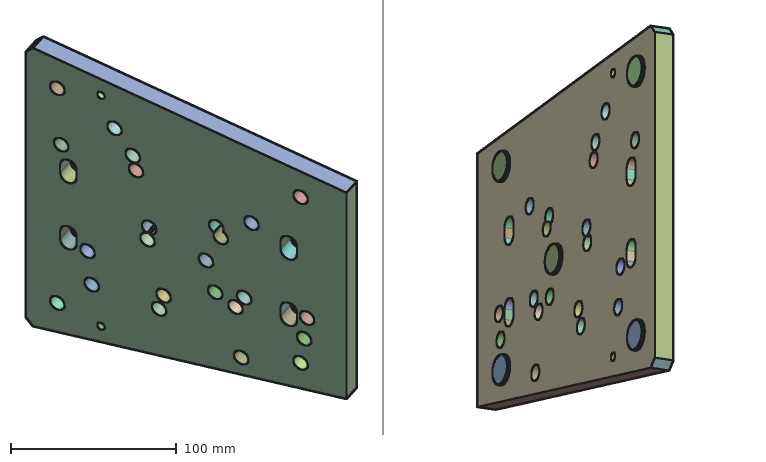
import cadquery as cq

plate_length = 222.2
plate_height = 214.5
short_side_height = 159.0
overall_depth = 15.0
pad_thickness = 2.0
plate_thickness = overall_depth - pad_thickness
corner_chamfer = 5.1

hole_diameter = 10.0
hole_centers = [
    (61.5, 67.1),
    (74.2, 51.0),
    (76.5, 40.5),
    (24.7, 40.2),
    (156.5, 30.7),
    (132.0, 18.5),
    (135.1, 11.5),
    (85.5, 0.0),
    (84.5, -9.8),
    (195.0, -27.5),
    (151.4, -28.7),
    (131.3, -32.2),
    (145.4, -38.2),
    (193.0, -44.2),
    (43.0, -34.7),
    (95.5, -48.7),
    (92.5, -60.0),
    (45.8, -59.3),
    (149.4, -75.5),
]

small_hole_diameter = 5.1
small_hole_x = 52.2
small_hole_z = 89.0

slot_width = 11.1
slot_height = 17.5
slot_columns = (29.5, 182.2)
slot_rows = (21.5, -29.5)

pad_diameter = 19.1
pad_chamfer_depth = 1.0
pad_chamfer_inset = 0.5
left_pad_x = 22.0
left_pad_z = 82.7
right_pad_x = 190.5
right_pad_z = 63.8
middle_pad_center = (125.0, -10.2)
pad_centers = [
    (left_pad_x, left_pad_z),
    (left_pad_x, -left_pad_z),
    (right_pad_x, right_pad_z),
    (right_pad_x, -right_pad_z),
    middle_pad_center,
]


def plane_at(y):
    """XZ sketch plane at depth y, facing +Y; its local x axis is +X, its local y axis is -Z."""
    return cq.Workplane(cq.Plane(origin=(0, y, 0), xDir=(1, 0, 0), normal=(0, 1, 0)))


def rear_facing(points):
    """Turn (x, z) points into the local coordinates of plane_at."""
    return [(x, -z) for x, z in points]


def make_plate():
    """Tapered plate with two chamfered corners and all its through openings."""
    half_height = plate_height / 2
    half_short_side = short_side_height / 2
    outline = [
        (0, half_height - corner_chamfer),
        (corner_chamfer, half_height),
        (plate_length, half_short_side),
        (plate_length, -half_short_side),
        (corner_chamfer, -half_height),
        (0, -half_height + corner_chamfer),
    ]
    plate = plane_at(0).polyline(rear_facing(outline)).close().extrude(plate_thickness)

    round_holes = plane_at(0).pushPoints(rear_facing(hole_centers + pad_centers))
    plate = plate.cut(round_holes.circle(hole_diameter / 2).extrude(plate_thickness))

    small_holes = plane_at(0).pushPoints([(small_hole_x, small_hole_z), (small_hole_x, -small_hole_z)])
    plate = plate.cut(small_holes.circle(small_hole_diameter / 2).extrude(plate_thickness))

    slots = plane_at(0).pushPoints(rear_facing([(x, z) for x in slot_columns for z in slot_rows]))
    upright = 90
    return plate.cut(slots.slot2D(slot_height, slot_width, upright).extrude(plate_thickness))


def make_pad(center):
    """Round pad seated on the rear face of the plate, its outer rim chamfered."""
    seat = plane_at(plate_thickness).pushPoints(rear_facing([center]))
    pad = seat.circle(pad_diameter / 2).extrude(pad_thickness)
    return pad.faces(">Y").chamfer(pad_chamfer_depth, pad_chamfer_inset)


plate = make_plate()
pads = [make_pad(center) for center in pad_centers]

result = cq.Compound.makeCompound([plate.val(), *[pad.val() for pad in pads]])